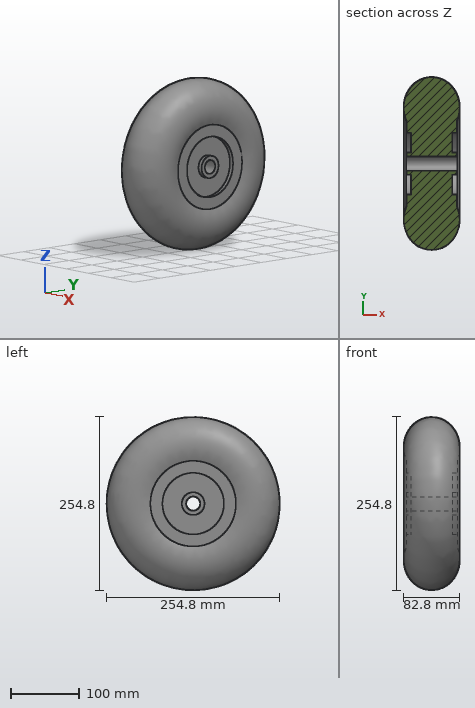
import cadquery as cq
import math

outer_diameter = 254.8
tire_width = 82.8
section_height = 90.0
hub_diameter = 126.0
recess_diameter = 90.5
recess_depth = 7.0
boss_diameter = 33.5
bore_diameter = 20.5

half_width = tire_width / 2
half_height = section_height / 2
ring_radius = outer_diameter / 2 - half_height
hub_offset = (ring_radius - hub_diameter / 2) / half_height
hub_half_width = half_width * math.sqrt(1 - hub_offset**2)


def axial_cylinder(diameter, start, end):
    """Cylinder around the wheel axis between two X positions."""
    return cq.Workplane("YZ").workplane(offset=start).circle(diameter / 2).extrude(end - start)


def make_body():
    """Oval tire and solid hub as one profile revolved around the X axis."""
    hub_angle = math.degrees(math.asin(hub_offset))
    return (
        cq.Workplane("XY")
        .moveTo(hub_half_width, 0)
        .lineTo(hub_half_width, hub_diameter / 2)
        .ellipseArc(half_width, half_height, -hub_angle, 180 + hub_angle, sense=1)
        .lineTo(-hub_half_width, 0)
        .close()
        .revolve(360, (0, 0, 0), (1, 0, 0))
    )


def make_recess(side):
    """Ring-shaped recess in one hub face, leaving a central boss flush with the face."""
    face = side * hub_half_width
    floor = side * (hub_half_width - recess_depth)
    recess = axial_cylinder(recess_diameter, floor, face)
    return recess.cut(axial_cylinder(boss_diameter, floor, face))


result = make_body()
for side in (-1, 1):
    result = result.cut(make_recess(side))
result = result.cut(axial_cylinder(bore_diameter, -half_width, half_width))